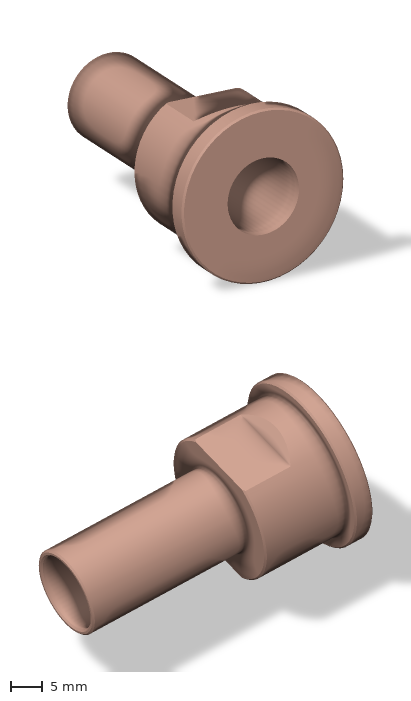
import cadquery as cq

total_length = 49.5
tube_diameter = 15.0
bore_diameter = 13.0
body_diameter = 25.0
flange_diameter = 29.5
body_start = 30.0
flange_thickness = 3.5
edge_chamfer = 0.3
root_fillet = 0.4

across_flats = 21.05
flat_length = 9.1

flange_start = total_length - flange_thickness
flat_height = across_flats / 2
flat_end = body_start + flat_length
clearance = 2.48


def stage(start, end, diameter):
    """Solid cylinder along X between two stations."""
    return cq.Workplane("YZ", origin=(start, 0, 0)).circle(diameter / 2).extrude(end - start)


def chamfered_stage(start, end, diameter, chamfered_ends):
    """Cylinder with the rims of the selected end faces chamfered."""
    return stage(start, end, diameter).faces(chamfered_ends).edges().chamfer(edge_chamfer)


def root(station, diameter):
    """Concave fillet ring where a cylinder meets the shoulder at the given station."""
    radius = diameter / 2
    arc_middle = root_fillet * (1 - 0.5 ** 0.5)
    return (
        cq.Workplane("XY")
        .moveTo(station - root_fillet, radius)
        .threePointArc(
            (station - arc_middle, radius + arc_middle),
            (station, radius + root_fillet),
        )
        .lineTo(station, radius - root_fillet)
        .lineTo(station - root_fillet, radius - root_fillet)
        .close()
        .revolve(360, (0, 0, 0), (1, 0, 0))
    )


def body():
    """Body with two opposite flats, each running out on a 45 degree ramp."""
    turned = chamfered_stage(body_start, flange_start, body_diameter, "<X")
    ramp_rise = body_diameter / 2 - flat_height + clearance
    flat_cutter = (
        cq.Workplane("XZ")
        .moveTo(body_start - clearance, flat_height)
        .lineTo(flat_end, flat_height)
        .lineTo(flat_end + ramp_rise, flat_height + ramp_rise)
        .lineTo(body_start - clearance, flat_height + ramp_rise)
        .close()
        .extrude(body_diameter, both=True)
    )
    return turned.cut(flat_cutter).cut(flat_cutter.mirror("XY"))


def bore():
    """Through bore with a chamfered mouth at the tube end."""
    mouth = (
        cq.Workplane("YZ")
        .circle(bore_diameter / 2 + edge_chamfer)
        .workplane(offset=edge_chamfer)
        .circle(bore_diameter / 2)
        .loft()
    )
    return stage(0, total_length, bore_diameter).union(mouth)


tube = chamfered_stage(0, body_start, tube_diameter, "<X")
flange = chamfered_stage(flange_start, total_length, flange_diameter, "<X or >X")

result = (
    tube
    .union(body())
    .union(flange)
    .union(root(body_start, tube_diameter))
    .union(root(flange_start, body_diameter))
    .cut(bore())
)